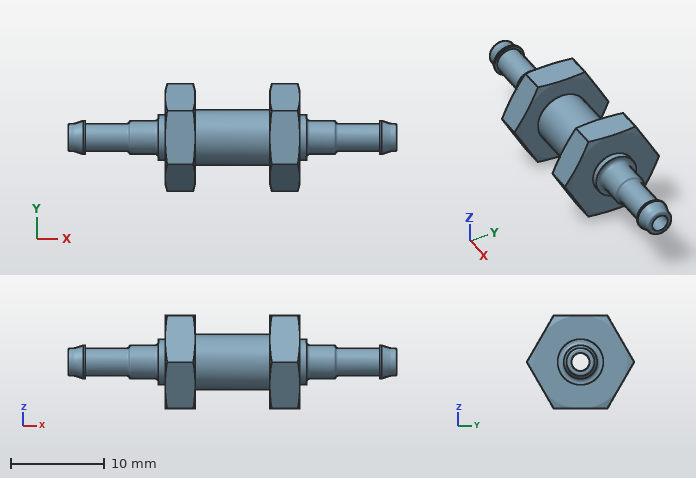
import cadquery as cq
import math

length = 35.3
bore_radius = 0.95

stem_diameter = 3.0
stem_radius = stem_diameter / 2
tip_round = 0.25
barb_start = 0.7
barb_blend_radius = 0.35
barb_radius = 1.8
barb_crest_start = 1.62
barb_crest_end = 1.87
shoulder_start = 6.35
shoulder_end = 6.78
shoulder_radius = 1.8
collar_fillet = 0.4
collar_diameter = 4.9
collar_radius = collar_diameter / 2
collar_start = 9.7

barrel_radius = 3.0
barrel_length = 8.0
nut_thickness = 3.2
nut_across_corners = 11.55
nut_chamfer_depth = 0.2


def left_stem():
    """Revolve the barbed stem and collar from the left tip to the middle of the nut."""
    tip = -length / 2
    nut_middle = -(barrel_length + nut_thickness) / 2

    barb_angle = math.atan2(barb_radius - stem_radius, barb_crest_start - barb_start)
    tangent_length = barb_blend_radius * math.tan(barb_angle / 2)
    blend_end = (
        tip + barb_start + tangent_length * math.cos(barb_angle),
        stem_radius + tangent_length * math.sin(barb_angle),
    )

    rise = shoulder_radius - stem_radius
    run = shoulder_end - shoulder_start
    blend_radius = (run**2 + rise**2) / (4 * rise)
    blend_middle = (tip + (shoulder_start + shoulder_end) / 2, stem_radius + rise / 2)

    profile = (
        cq.Workplane("XY")
        .moveTo(tip, bore_radius)
        .lineTo(tip, stem_radius - tip_round)
        .radiusArc((tip + tip_round, stem_radius), tip_round)
        .lineTo(tip + barb_start - tangent_length, stem_radius)
        .radiusArc(blend_end, -barb_blend_radius)
        .lineTo(tip + barb_crest_start, barb_radius)
        .lineTo(tip + barb_crest_end, barb_radius)
        .lineTo(tip + barb_crest_end, stem_radius)
        .lineTo(tip + shoulder_start, stem_radius)
        .radiusArc(blend_middle, -blend_radius)
        .radiusArc((tip + shoulder_end, shoulder_radius), blend_radius)
        .lineTo(tip + collar_start - collar_fillet, shoulder_radius)
        .radiusArc((tip + collar_start, shoulder_radius + collar_fillet), -collar_fillet)
        .lineTo(tip + collar_start, collar_radius)
        .lineTo(nut_middle, collar_radius)
        .lineTo(nut_middle, bore_radius)
        .close()
    )
    return profile.revolve(360, (0, 0, 0), (1, 0, 0))


def left_nut():
    """Hexagon nut with corners on +Y and -Y, chamfered on both faces and bored through."""
    corner_radius = nut_across_corners / 2
    flat_radius = corner_radius * math.cos(math.pi / 6)
    inner_face = -barrel_length / 2
    outer_face = inner_face - nut_thickness

    hexagon = (
        cq.Workplane("YZ", origin=(outer_face, 0, 0))
        .polygon(6, nut_across_corners)
        .extrude(nut_thickness)
    )
    envelope = (
        cq.Workplane("XY")
        .moveTo(outer_face, bore_radius)
        .lineTo(outer_face, flat_radius)
        .lineTo(outer_face + nut_chamfer_depth, corner_radius)
        .lineTo(inner_face - nut_chamfer_depth, corner_radius)
        .lineTo(inner_face, flat_radius)
        .lineTo(inner_face, bore_radius)
        .close()
        .revolve(360, (0, 0, 0), (1, 0, 0))
    )
    return hexagon.intersect(envelope)


def barrel():
    """Bored cylinder joining the two nuts, reaching to the middle of each."""
    barrel_span = barrel_length + nut_thickness
    return (
        cq.Workplane("YZ", origin=(-barrel_span / 2, 0, 0))
        .circle(barrel_radius)
        .circle(bore_radius)
        .extrude(barrel_span)
    )


left_end = left_stem().union(left_nut())
result = barrel().union(left_end).union(left_end.mirror("YZ"))